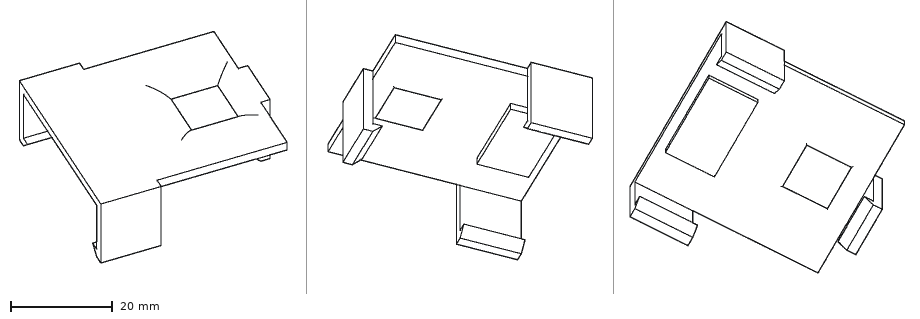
import cadquery as cq
import math

width = 40.0
length = 43.0
height = 15.57
wall = 2.02

leg_depth = 13.0
hook_reach = wall
hook_height = wall

plate_length = length - wall
plate_width = width - 2 * wall
plate_bottom = height - wall

clip_width = 11.0
clip_offset = -0.5

window_size = 10.0
flare_reach = 4.9
rim_size = window_size + 2 * flare_reach
window_y = plate_length - rim_size / 2

pad_width = 18.05
pad_thickness = 1.5
pad_depth = leg_depth - wall


def box(size_x, size_y, size_z, x, y, z):
    """Box centred on x, with its front at y and its bottom at z."""
    return (
        cq.Workplane("XY")
        .box(size_x, size_y, size_z, centered=(True, False, False))
        .translate((x, y, z))
    )


def hooked_wall(run):
    """Upright wall from x = 0 to wall, with a hook pointing to +X, extruded along +Y."""
    profile = [
        (0, 0),
        (wall, 0),
        (wall + hook_reach, hook_height),
        (wall, hook_height),
        (wall, height),
        (0, height),
    ]
    return cq.Workplane("XZ").polyline(profile).close().extrude(-run)


def flare_cutter():
    """Square funnel whose four sides are convex arcs, tangent to the top of the plate."""
    radius = (flare_reach**2 + wall**2) / (2 * wall)
    half_angle = math.asin(flare_reach / radius) / 2
    half_rim = rim_size / 2
    mid_x = half_rim - radius * math.sin(half_angle)
    mid_z = height - radius * (1 - math.cos(half_angle))

    def trough(plane):
        return (
            cq.Workplane(plane)
            .moveTo(-half_rim, height)
            .threePointArc((-mid_x, mid_z), (-window_size / 2, plate_bottom))
            .lineTo(window_size / 2, plate_bottom)
            .threePointArc((mid_x, mid_z), (half_rim, height))
            .close()
            .extrude(half_rim, both=True)
        )

    return trough("XZ").intersect(trough("YZ")).translate((0, window_y, 0))


plate = box(plate_width, plate_length, wall, 0, 0, plate_bottom)
plate = plate.union(box(width, leg_depth, wall, 0, 0, plate_bottom))
plate = plate.cut(flare_cutter())

left_leg = hooked_wall(leg_depth).translate((-width / 2, 0, 0))
right_leg = left_leg.mirror("YZ")

clip = (
    hooked_wall(clip_width)
    .translate((0, -clip_width / 2, 0))
    .rotate((0, 0, 0), (0, 0, 1), -90)
    .translate((clip_offset, length, 0))
)

pad = box(pad_width, pad_depth, pad_thickness, 0, wall, plate_bottom - pad_thickness)

result = plate.union(left_leg).union(right_leg).union(clip).union(pad)